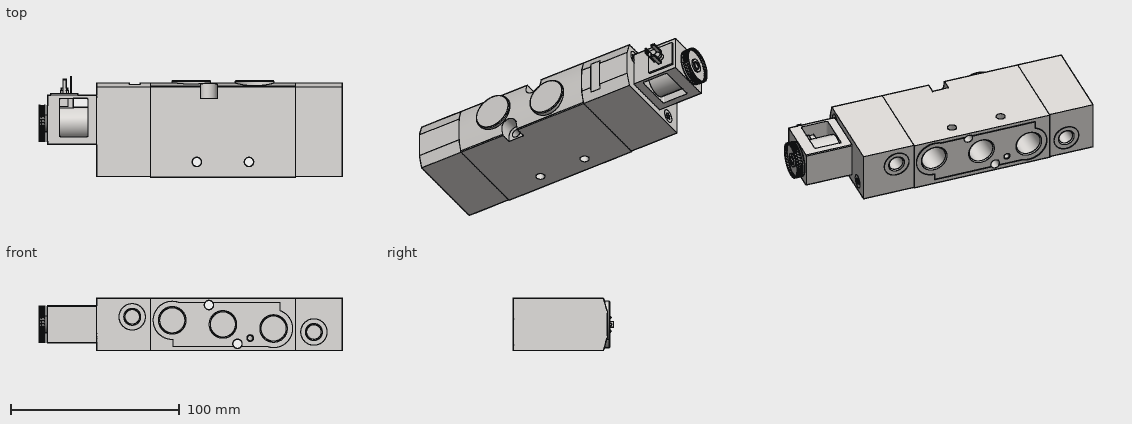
import cadquery as cq
import math


TOTAL_LENGTH = 179.6
HEIGHT = 31.0
HALF_HEIGHT = HEIGHT / 2
PILOT_CAP_X = 34.1
BODY_X = 66.1
END_CAP_X = 152.0
CAP_FRONT_Y = 0.5
BACK_EDGE_Y = 53.5
BACK_CREST_Y = 56.0
BODY_EDGE_BEVEL = 0.5
CAP_CREST_HALF_HEIGHT = 7.9

PORT_PITCH = 30.0
PORT_ROW_FALL = 4.9
PORT_RISE = PORT_ROW_FALL / 2
PORT_CENTRE_X = 108.9
PORT_DIAMETER = 15.0
PORT_MOUTH_DIAMETER = 16.3
PORT_DEPTH = 21.5
BLEED_X = 125.0
BLEED_Z = -8.0
BLEED_DIAMETER = 3.2
BLEED_MOUTH_DIAMETER = 4.0
BLEED_DEPTH = 7.2

GASKET_RADIUS = 11.3
GASKET_LEFT_X = 79.2
GASKET_RIGHT_X = 142.8
GASKET_HALF_HEIGHT = 13.0
GASKET_DEPTH = 0.5

MOUNT_DIAMETER = 5.4
MOUNT_Z = 11.5
UPPER_MOUNT_X = 100.6
LOWER_MOUNT_X = 117.5
NOTCH_WIDTH = 10.0
NOTCH_FLOOR_Y = 46.9
VERTICAL_HOLE_X = (93.5, 124.3)
VERTICAL_HOLE_Y = 9.2

BOSS_DIAMETER = 23.0
BOSS_TOP_Y = 57.5
BOSS_PITCH = 37.5
BOSS_CHAMFER = 0.5

PILOT_PORT_X = 55.2
END_PORT_X = 162.8
CAP_PORT_Z = 4.5
CAP_PORT_DIAMETER = 8.6
CAP_PORT_MOUTH_DIAMETER = 10.0
CAP_PORT_DEPTH = 18.0
SPOTFACE_DIAMETER = 15.6
SPOTFACE_DEPTH = 0.4

BACK_SLOT_X = 53.5
BACK_SLOT_WIDTH = 6.3
BACK_SLOT_DEPTH = 0.9

SCREW_PLACES = ((10.5, -9.3), (48.0, 9.3))
SCREW_DIAMETER = 8.0
SCREW_LENGTH = 5.4
STAR_TIP_RADIUS = 2.2
STAR_ROOT_RADIUS = 1.5
STAR_POINTS = 6
STAR_DEPTH = 3.6

COIL_AXIS_Y = 32.0
FRAME_X = 5.0
FRAME_FRONT_Y = 19.4
FRAME_BACK_Y = 48.7
FRAME_HEIGHT = 22.3
FRAME_CHAMFER = 0.5
WINDOW_X = 12.2
WINDOW_LENGTH = 16.7
WINDOW_FRONT_Y = 24.0
WINDOW_BACK_Y = 46.9
WINDOW_CORNER_RADIUS = 0.7

COIL_DIAMETER = 19.4
BLOCK_LENGTH = 8.0
BLOCK_FRONT_Y = 41.1
BLOCK_HEIGHT = 6.8
STEP_LENGTH = 4.9
STEP_FRONT_Y = 42.0
STEP_RISE = 0.5
PLATE_X = 6.8
PLATE_LENGTH = 16.2
PLATE_HEIGHT = 16.2
PLATE_THICKNESS = 1.0
PIN_X = 15.1
PIN_SPACING = 8.0
PIN_WIDTH = 2.2
PIN_THICKNESS = 1.3
PIN_TIP_Y = 58.4
PIN_POINT = 0.5
BLADE_X = 18.9
BLADE_THICKNESS = 0.5
BLADE_WIDTH = 3.6
BLADE_TIP_Y = 59.8
BLADE_HOLE_DIAMETER = 1.75
BLADE_HOLE_Y = 57.7
POST_STEPS = ((4.9, 51.5), (4.0, 53.0))

KNOB_DIAMETER = 21.5
KNOB_THICKNESS = 3.6
KNOB_RIM = 0.5
FLUTE_COUNT = 36
FLUTE_WIDTH = 0.9
FLUTE_DEPTH = 0.4
KNOB_DISH_DIAMETER = 20.1
KNOB_DISH_DEPTH = 1.5
NECK_DIAMETER = 10.0
WASHER_DIAMETER = 21.2
WASHER_THICKNESS = 0.4
TUBE_DIAMETER = 8.0
TUBE_TIP_X = 0.5
TUBE_BORES = ((4.9, 0.4), (3.8, 2.7), (1.75, 3.6))


def box(x0, x1, y0, y1, z0, z1):
    """Block between two opposite corners."""
    return cq.Workplane("XY").box(x1 - x0, y1 - y0, z1 - z0, centered=False).translate((x0, y0, z0))


def rod_x(diameter, x0, x1, y, z):
    """Cylinder along X."""
    return cq.Workplane("YZ", origin=(x0, y, z)).circle(diameter / 2).extrude(x1 - x0)


def rod_y(diameter, y0, y1, x, z):
    """Cylinder along Y."""
    return cq.Workplane("XZ", origin=(x, y0, z)).circle(diameter / 2).extrude(y0 - y1)


def front_hole(x, z, face_y, diameter, mouth_diameter, depth):
    """Blind hole into a front face, with a 45 degree countersunk mouth."""
    bore = rod_y(diameter, face_y, face_y + depth, x, z)
    sink = (mouth_diameter - diameter) / 2
    mouth = cq.Solid.makeCone(
        mouth_diameter / 2, diameter / 2, sink, cq.Vector(x, face_y, z), cq.Vector(0, 1, 0)
    )
    return bore.union(cq.Workplane(mouth))


def body_blank():
    """Flat front, top and bottom, and an arched back with bevelled edges."""
    arch_z = HALF_HEIGHT - BODY_EDGE_BEVEL
    arch_y = BACK_EDGE_Y + BODY_EDGE_BEVEL
    return (
        cq.Workplane("YZ", origin=(BODY_X, 0, 0))
        .moveTo(0, -HALF_HEIGHT)
        .lineTo(BACK_EDGE_Y, -HALF_HEIGHT)
        .lineTo(arch_y, -arch_z)
        .threePointArc((BACK_CREST_Y, 0), (arch_y, arch_z))
        .lineTo(BACK_EDGE_Y, HALF_HEIGHT)
        .lineTo(0, HALF_HEIGHT)
        .close()
        .extrude(END_CAP_X - BODY_X)
    )


def port_place(index):
    """Centre of a front port; the row of three falls towards +X."""
    return PORT_CENTRE_X + index * PORT_PITCH, -index * PORT_RISE


def gasket_recess():
    recess = box(
        GASKET_LEFT_X, GASKET_RIGHT_X, 0, GASKET_DEPTH, -GASKET_HALF_HEIGHT, GASKET_HALF_HEIGHT
    )
    for index in (-1, 1):
        x, z = port_place(index)
        recess = recess.union(rod_y(2 * GASKET_RADIUS, 0, GASKET_DEPTH, x, z))
    return recess


def mounting_cut(x, side):
    """Through hole along Y with a U notch at the back, open to the top (side 1) or bottom (side -1)."""
    z = side * MOUNT_Z
    hole = rod_y(MOUNT_DIAMETER, 0, BOSS_TOP_Y, x, z)
    round_end = rod_y(NOTCH_WIDTH, NOTCH_FLOOR_Y, BOSS_TOP_Y, x, z)
    low, high = sorted((z, side * HALF_HEIGHT))
    opening = box(x - NOTCH_WIDTH / 2, x + NOTCH_WIDTH / 2, NOTCH_FLOOR_Y, BOSS_TOP_Y, low, high)
    return hole.union(round_end).union(opening)


def make_valve_body():
    body = body_blank()
    for side in (-1, 1):
        boss_x = PORT_CENTRE_X + side * BOSS_PITCH / 2
        boss = rod_y(BOSS_DIAMETER, NOTCH_FLOOR_Y, BOSS_TOP_Y, boss_x, side * PORT_RISE)
        body = body.union(boss.faces(">Y").chamfer(BOSS_CHAMFER))
    body = body.cut(gasket_recess())
    for index in (-1, 0, 1):
        x, z = port_place(index)
        body = body.cut(front_hole(x, z, GASKET_DEPTH, PORT_DIAMETER, PORT_MOUTH_DIAMETER, PORT_DEPTH))
    body = body.cut(
        front_hole(BLEED_X, BLEED_Z, GASKET_DEPTH, BLEED_DIAMETER, BLEED_MOUTH_DIAMETER, BLEED_DEPTH)
    )
    body = body.cut(mounting_cut(UPPER_MOUNT_X, 1)).cut(mounting_cut(LOWER_MOUNT_X, -1))
    for x in VERTICAL_HOLE_X:
        hole = cq.Workplane("XY", origin=(x, VERTICAL_HOLE_Y, -HALF_HEIGHT)).circle(MOUNT_DIAMETER / 2)
        body = body.cut(hole.extrude(HEIGHT))
    return body


def cap_blank(x0, x1):
    """Flat front, top and bottom, and a flat back with a long chamfer above and below."""
    outline = [
        (CAP_FRONT_Y, -HALF_HEIGHT),
        (BACK_EDGE_Y, -HALF_HEIGHT),
        (BACK_CREST_Y, -CAP_CREST_HALF_HEIGHT),
        (BACK_CREST_Y, CAP_CREST_HALF_HEIGHT),
        (BACK_EDGE_Y, HALF_HEIGHT),
        (CAP_FRONT_Y, HALF_HEIGHT),
    ]
    return cq.Workplane("YZ", origin=(x0, 0, 0)).polyline(outline).close().extrude(x1 - x0)


def make_cap(x0, x1, port_x, port_z):
    cap = cap_blank(x0, x1)
    floor_y = CAP_FRONT_Y + SPOTFACE_DEPTH
    cap = cap.cut(rod_y(SPOTFACE_DIAMETER, CAP_FRONT_Y, floor_y, port_x, port_z))
    return cap.cut(
        front_hole(port_x, port_z, floor_y, CAP_PORT_DIAMETER, CAP_PORT_MOUTH_DIAMETER, CAP_PORT_DEPTH)
    )


def screw_blank(y, z):
    return rod_x(SCREW_DIAMETER, PILOT_CAP_X, PILOT_CAP_X + SCREW_LENGTH, y, z)


def make_pilot_cap():
    cap = make_cap(PILOT_CAP_X, BODY_X, PILOT_PORT_X, CAP_PORT_Z)
    for y, z in SCREW_PLACES:
        cap = cap.cut(screw_blank(y, z))
    slot = box(
        BACK_SLOT_X,
        BACK_SLOT_X + BACK_SLOT_WIDTH,
        BACK_CREST_Y - BACK_SLOT_DEPTH,
        BACK_CREST_Y,
        -HALF_HEIGHT,
        HALF_HEIGHT,
    )
    return cap.cut(slot)


def star_points(outer_radius, inner_radius, count):
    """Corners of a star with its first point on the vertical axis."""
    points = []
    for corner in range(2 * count):
        radius = inner_radius if corner % 2 else outer_radius
        angle = math.pi * corner / count
        points.append((radius * math.sin(angle), radius * math.cos(angle)))
    return points


def make_screw(y, z):
    """Flush cap screw with a six-pointed drive recess."""
    drive = (
        cq.Workplane("YZ", origin=(PILOT_CAP_X, y, z))
        .polyline(star_points(STAR_TIP_RADIUS, STAR_ROOT_RADIUS, STAR_POINTS))
        .close()
        .extrude(STAR_DEPTH)
    )
    return screw_blank(y, z).cut(drive)


def tube_blank():
    return rod_x(TUBE_DIAMETER, TUBE_TIP_X, PILOT_CAP_X, COIL_AXIS_Y, 0)


def make_core_tube():
    tube = tube_blank()
    for diameter, depth in TUBE_BORES:
        tube = tube.cut(rod_x(diameter, TUBE_TIP_X, TUBE_TIP_X + depth, COIL_AXIS_Y, 0))
    return tube


def make_pin(z):
    """Flat terminal with a pointed tip."""
    half = PIN_THICKNESS / 2
    return (
        cq.Workplane("YZ", origin=(PIN_X - PIN_WIDTH / 2, 0, z))
        .moveTo(FRAME_BACK_Y, -half)
        .lineTo(PIN_TIP_Y - PIN_POINT, -half)
        .lineTo(PIN_TIP_Y, 0)
        .lineTo(PIN_TIP_Y - PIN_POINT, half)
        .lineTo(FRAME_BACK_Y, half)
        .close()
        .extrude(PIN_WIDTH)
    )


def make_blade():
    """Earth blade with a round hole near its tip."""
    x0 = BLADE_X - BLADE_THICKNESS / 2
    x1 = x0 + BLADE_THICKNESS
    blade = box(x0, x1, FRAME_BACK_Y, BLADE_TIP_Y, -BLADE_WIDTH / 2, BLADE_WIDTH / 2)
    return blade.cut(rod_x(BLADE_HOLE_DIAMETER, x0, x1, BLADE_HOLE_Y, 0))


def coil_inside_frame():
    """Winding and terminal block, the part of the coil that the frame encloses."""
    winding = rod_x(COIL_DIAMETER, WINDOW_X, WINDOW_X + WINDOW_LENGTH, COIL_AXIS_Y, 0)
    half = BLOCK_HEIGHT / 2
    block = box(WINDOW_X, WINDOW_X + BLOCK_LENGTH, BLOCK_FRONT_Y, FRAME_BACK_Y, -half, half)
    step = box(WINDOW_X, WINDOW_X + STEP_LENGTH, STEP_FRONT_Y, WINDOW_BACK_Y, half, half + STEP_RISE)
    return winding.union(block).union(step)


def make_coil():
    plate = box(
        PLATE_X,
        PLATE_X + PLATE_LENGTH,
        FRAME_BACK_Y,
        FRAME_BACK_Y + PLATE_THICKNESS,
        -PLATE_HEIGHT / 2,
        PLATE_HEIGHT / 2,
    )
    coil = coil_inside_frame().union(plate).union(make_blade())
    for diameter, top_y in POST_STEPS:
        coil = coil.union(rod_y(diameter, FRAME_BACK_Y, top_y, PIN_X, 0))
    for side in (-1, 1):
        coil = coil.union(make_pin(side * PIN_SPACING / 2))
    return coil.cut(tube_blank())


def make_frame():
    half = FRAME_HEIGHT / 2
    frame = box(FRAME_X, PILOT_CAP_X, FRAME_FRONT_Y, FRAME_BACK_Y, -half, half)
    frame = frame.faces("<Y").edges("|X").chamfer(FRAME_CHAMFER)
    window = box(WINDOW_X, WINDOW_X + WINDOW_LENGTH, WINDOW_FRONT_Y, WINDOW_BACK_Y, -half, half)
    window = window.edges("|Z").fillet(WINDOW_CORNER_RADIUS)
    return frame.cut(window).cut(coil_inside_frame()).cut(tube_blank())


def knob_flutes():
    """Ring of grip flutes around the knob, stopping short of both faces."""
    radius = KNOB_DIAMETER / 2
    flute = box(
        KNOB_RIM,
        KNOB_THICKNESS - KNOB_RIM,
        COIL_AXIS_Y - FLUTE_WIDTH / 2,
        COIL_AXIS_Y + FLUTE_WIDTH / 2,
        radius - FLUTE_DEPTH,
        radius + FLUTE_DEPTH,
    )
    axis_start = (0, COIL_AXIS_Y, 0)
    axis_end = (1, COIL_AXIS_Y, 0)
    return [flute.rotate(axis_start, axis_end, 360 * i / FLUTE_COUNT) for i in range(FLUTE_COUNT)]


def make_nut():
    """Fluted, dished knob with a neck and a thin seating washer."""
    knob = rod_x(KNOB_DIAMETER, 0, KNOB_THICKNESS, COIL_AXIS_Y, 0)
    for flute in knob_flutes():
        knob = knob.cut(flute)
    knob = knob.cut(rod_x(KNOB_DISH_DIAMETER, 0, KNOB_DISH_DEPTH, COIL_AXIS_Y, 0))
    neck = rod_x(NECK_DIAMETER, KNOB_THICKNESS, FRAME_X, COIL_AXIS_Y, 0)
    washer = rod_x(WASHER_DIAMETER, FRAME_X - WASHER_THICKNESS, FRAME_X, COIL_AXIS_Y, 0)
    return knob.union(neck).union(washer).cut(tube_blank())


valve_body = make_valve_body()
pilot_cap = make_pilot_cap()
end_cap = make_cap(END_CAP_X, TOTAL_LENGTH, END_PORT_X, -CAP_PORT_Z)
screws = [make_screw(y, z) for y, z in SCREW_PLACES]
core_tube = make_core_tube()
coil = make_coil()
frame = make_frame()
nut = make_nut()

result = cq.Compound.makeCompound(
    [
        valve_body.val(),
        pilot_cap.val(),
        end_cap.val(),
        *[screw.val() for screw in screws],
        core_tube.val(),
        coil.val(),
        frame.val(),
        nut.val(),
    ]
)